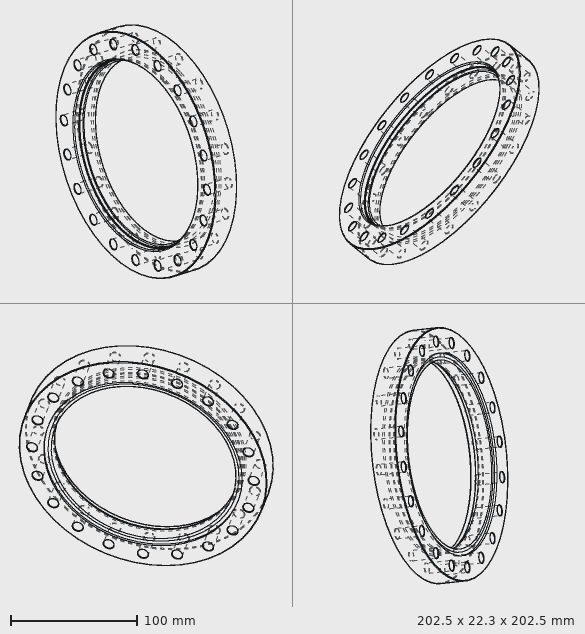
import cadquery as cq


ring_diameter = 202.5
ring_thickness = 22.3
ring_bore_diameter = 155.8
rim_chamfer = 0.6
bore_chamfer = 1.0
rear_recess_diameter = 162.0

bolt_count = 20
bolt_circle_diameter = 181.0
bolt_hole_diameter = 8.3
bolt_hole_chamfer = 0.5

insert_front_setback = 5.0
insert_rear_setback = 2.0
insert_bore_diameter = 150.8
insert_socket_diameter = 153.8
insert_socket_depth = 3.5
insert_socket_chamfer = 0.5

ring_radius = ring_diameter / 2
ring_bore_radius = ring_bore_diameter / 2
front_y = -ring_thickness / 2
rear_y = ring_thickness / 2
insert_front_y = front_y + insert_front_setback
insert_rear_y = rear_y - insert_rear_setback


def revolve_about_y(points):
    """Turn an outline of (y, radius) points into a solid of revolution about the Y axis."""
    return cq.Workplane("YZ").polyline(points).close().revolve(360, (0, 0, 0), (1, 0, 0))


def make_bolt_hole_cutter():
    """Cutter on the Y axis for one through hole, chamfered at both faces."""
    hole_radius = bolt_hole_diameter / 2
    mouth_radius = hole_radius + bolt_hole_chamfer
    return revolve_about_y([
        (front_y, 0),
        (front_y, mouth_radius),
        (front_y + bolt_hole_chamfer, hole_radius),
        (rear_y - bolt_hole_chamfer, hole_radius),
        (rear_y, mouth_radius),
        (rear_y, 0),
    ])


def make_ring():
    """Outer ring with chamfered rims, a bore recessed at the rear, and the bolt holes."""
    recess_radius = rear_recess_diameter / 2
    body = revolve_about_y([
        (front_y, ring_bore_radius + bore_chamfer),
        (front_y, ring_radius - rim_chamfer),
        (front_y + rim_chamfer, ring_radius),
        (rear_y - rim_chamfer, ring_radius),
        (rear_y, ring_radius - rim_chamfer),
        (rear_y, recess_radius),
        (insert_rear_y, recess_radius),
        (insert_rear_y, ring_bore_radius),
        (front_y + bore_chamfer, ring_bore_radius),
    ])
    cutter = make_bolt_hole_cutter().translate((0, 0, bolt_circle_diameter / 2))
    for index in range(bolt_count):
        angle = index * 360 / bolt_count
        body = body.cut(cutter.rotate((0, 0, 0), (0, 1, 0), angle))
    return body


def make_insert():
    """Insert ring with a shallow socket at the front of its bore, chamfered at the mouth."""
    bore_radius = insert_bore_diameter / 2
    socket_radius = insert_socket_diameter / 2
    socket_floor_y = insert_front_y + insert_socket_depth
    return revolve_about_y([
        (socket_floor_y, bore_radius),
        (socket_floor_y, socket_radius),
        (insert_front_y + insert_socket_chamfer, socket_radius),
        (insert_front_y, socket_radius + insert_socket_chamfer),
        (insert_front_y, ring_bore_radius),
        (insert_rear_y, ring_bore_radius),
        (insert_rear_y, bore_radius),
    ])


ring = make_ring()
insert = make_insert()

result = cq.Compound.makeCompound([ring.val(), insert.val()])